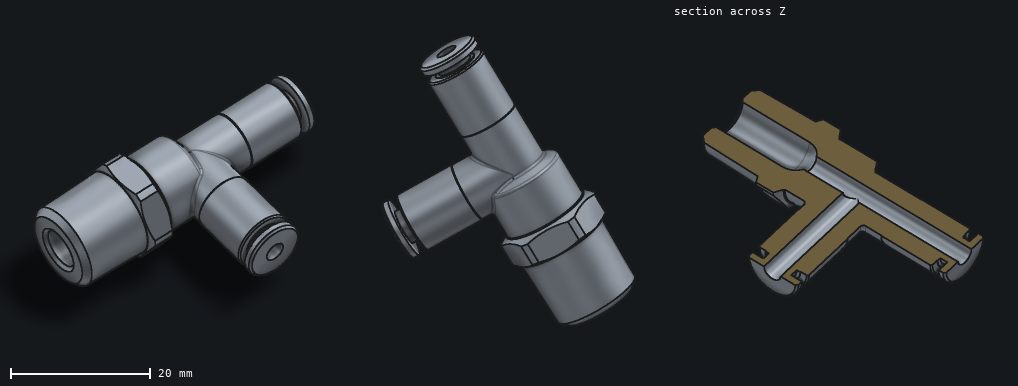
import cadquery as cq
import math


ARM_LENGTH = 19.6
CAP_RADIUS = 4.55
CAP_THICKNESS = 1.2
CAP_CHAMFER = 0.35
NECK_RADIUS = 2.6
LIP_RADIUS = 3.2
LIP_HEIGHT = 0.1
SLEEVE_RADIUS = CAP_RADIUS
SLEEVE_START = 7.85
SLEEVE_END = 17.1
SLEEVE_END_CHAMFER = 0.25
SLEEVE_START_CHAMFER = 0.1
TUBE_RADIUS = 4.5
BRANCH_RADIUS = TUBE_RADIUS - 0.02
FLOW_RADIUS = 1.5

BARREL_RADIUS = 6.25
BARREL_CORNER_Y = -1.43
SHOULDER_ANGLE = 30.0
SHOULDER_ROUND = 0.5
JUNCTION_ROUND = 0.5

HEX_REAR_Y = -8.35
HEX_FRONT_Y = -13.0
HEX_ACROSS_FLATS = 14.0
HEX_CORNER_RADIUS = 7.75
HEX_REAR_FACE_RADIUS = 6.4
HEX_COLLAR_HEIGHT = 0.15
HEX_FRONT_FACE_RADIUS = 6.8
HEX_CHAMFER_ANGLE = 30.0

THREAD_END_Y = -24.0
THREAD_REAR_RADIUS = 6.7
THREAD_FRONT_RADIUS = 6.47
THREAD_CHAMFER = 1.0
BORE_RADIUS = 3.0
BORE_CHAMFER = 0.55
BORE_BOTTOM_Y = HEX_REAR_Y


def revolve_about_y(points):
    """Turn (radius, y) points into a solid of revolution about the Y axis."""
    return cq.Workplane("XY").polyline(points).close().revolve(360, (0, 0, 0), (0, 1, 0))


def to_branch(shape):
    """Turn a shape that lies along +Y so that it lies along +X."""
    return shape.rotate((0, 0, 0), (0, 0, 1), -90)


def make_port():
    """Sleeve, lip, neck and release cap of one push-in port, along +Y."""
    cap_start = ARM_LENGTH - CAP_THICKNESS
    return revolve_about_y([
        (0, SLEEVE_START),
        (SLEEVE_RADIUS - SLEEVE_START_CHAMFER, SLEEVE_START),
        (SLEEVE_RADIUS, SLEEVE_START + SLEEVE_START_CHAMFER),
        (SLEEVE_RADIUS, SLEEVE_END - SLEEVE_END_CHAMFER),
        (SLEEVE_RADIUS - SLEEVE_END_CHAMFER, SLEEVE_END),
        (LIP_RADIUS, SLEEVE_END),
        (LIP_RADIUS, SLEEVE_END + LIP_HEIGHT),
        (NECK_RADIUS, SLEEVE_END + LIP_HEIGHT),
        (NECK_RADIUS, cap_start),
        (CAP_RADIUS, cap_start),
        (CAP_RADIUS, ARM_LENGTH - CAP_CHAMFER),
        (CAP_RADIUS - CAP_CHAMFER, ARM_LENGTH),
        (0, ARM_LENGTH),
    ])


def make_main_tube():
    """Tube and wide barrel along Y, joined by a conical shoulder with rounded edges."""
    turn = math.radians(90 - SHOULDER_ANGLE)
    tube_corner_y = BARREL_CORNER_Y + (BARREL_RADIUS - TUBE_RADIUS) / math.tan(turn)
    tangent = SHOULDER_ROUND * math.tan(turn / 2)
    tangent_radial = tangent * math.sin(turn)
    tangent_axial = tangent * math.cos(turn)
    return (
        cq.Workplane("XY")
        .moveTo(0, SLEEVE_START)
        .lineTo(TUBE_RADIUS, SLEEVE_START)
        .lineTo(TUBE_RADIUS, tube_corner_y + tangent)
        .radiusArc((TUBE_RADIUS + tangent_radial, tube_corner_y - tangent_axial), -SHOULDER_ROUND)
        .lineTo(BARREL_RADIUS - tangent_radial, BARREL_CORNER_Y + tangent_axial)
        .radiusArc((BARREL_RADIUS, BARREL_CORNER_Y - tangent), SHOULDER_ROUND)
        .lineTo(BARREL_RADIUS, HEX_REAR_Y)
        .lineTo(0, HEX_REAR_Y)
        .close()
        .revolve(360, (0, 0, 0), (0, 1, 0))
    )


def make_body():
    """Main tube with the branch tube joined to it by a rounded seam."""
    branch = cq.Workplane("YZ").circle(BRANCH_RADIUS).extrude(SLEEVE_START)
    body = make_main_tube().union(branch)
    seam_reach = TUBE_RADIUS * math.sqrt(0.5)
    seam_point = (seam_reach, seam_reach, seam_reach)
    return body.edges(cq.selectors.NearestToPointSelector(seam_point)).fillet(JUNCTION_ROUND)


def make_hexagon():
    """Hexagon with rounded corners, a chamfer on both faces and a thin round collar at the rear."""
    slope = math.tan(math.radians(HEX_CHAMFER_ANGLE))
    collar_y = HEX_REAR_Y - HEX_COLLAR_HEIGHT
    rear_chamfer = (HEX_CORNER_RADIUS - HEX_REAR_FACE_RADIUS) * slope
    front_chamfer = (HEX_CORNER_RADIUS - HEX_FRONT_FACE_RADIUS) * slope
    across_corners = HEX_ACROSS_FLATS / math.cos(math.pi / 6)
    prism = (
        cq.Workplane("XZ", origin=(0, HEX_REAR_Y, 0))
        .polygon(6, across_corners)
        .extrude(HEX_REAR_Y - HEX_FRONT_Y)
    )
    envelope = revolve_about_y([
        (0, HEX_REAR_Y),
        (HEX_REAR_FACE_RADIUS, HEX_REAR_Y),
        (HEX_REAR_FACE_RADIUS, collar_y),
        (HEX_CORNER_RADIUS, collar_y - rear_chamfer),
        (HEX_CORNER_RADIUS, HEX_FRONT_Y + front_chamfer),
        (HEX_FRONT_FACE_RADIUS, HEX_FRONT_Y),
        (0, HEX_FRONT_Y),
    ])
    return prism.intersect(envelope)


def make_thread():
    """Tapered thread envelope with a chamfered end."""
    return revolve_about_y([
        (0, HEX_FRONT_Y),
        (THREAD_REAR_RADIUS, HEX_FRONT_Y),
        (THREAD_FRONT_RADIUS, THREAD_END_Y + THREAD_CHAMFER),
        (THREAD_FRONT_RADIUS - THREAD_CHAMFER, THREAD_END_Y),
        (0, THREAD_END_Y),
    ])


def make_bore():
    """Bore from the threaded end, with a chamfered mouth and a half-sphere bottom."""
    dome_start = BORE_BOTTOM_Y - BORE_RADIUS
    shaft = revolve_about_y([
        (0, THREAD_END_Y),
        (BORE_RADIUS + BORE_CHAMFER, THREAD_END_Y),
        (BORE_RADIUS, THREAD_END_Y + BORE_CHAMFER),
        (BORE_RADIUS, dome_start),
        (0, dome_start),
    ])
    dome = cq.Workplane("XY", origin=(0, dome_start, 0)).sphere(BORE_RADIUS)
    return shaft.union(dome)


def make_flow_holes():
    """Hole from the bore out through the main port, and one from it out through the branch."""
    start_y = BORE_BOTTOM_Y - BORE_RADIUS
    main_hole = (
        cq.Workplane("XZ", origin=(0, ARM_LENGTH, 0))
        .circle(FLOW_RADIUS)
        .extrude(ARM_LENGTH - start_y)
    )
    branch_hole = cq.Workplane("YZ").circle(FLOW_RADIUS).extrude(ARM_LENGTH)
    return main_hole.union(branch_hole)


port = make_port()
solid = make_body().union(port).union(to_branch(port)).union(make_hexagon()).union(make_thread())
result = solid.cut(make_bore()).cut(make_flow_holes())